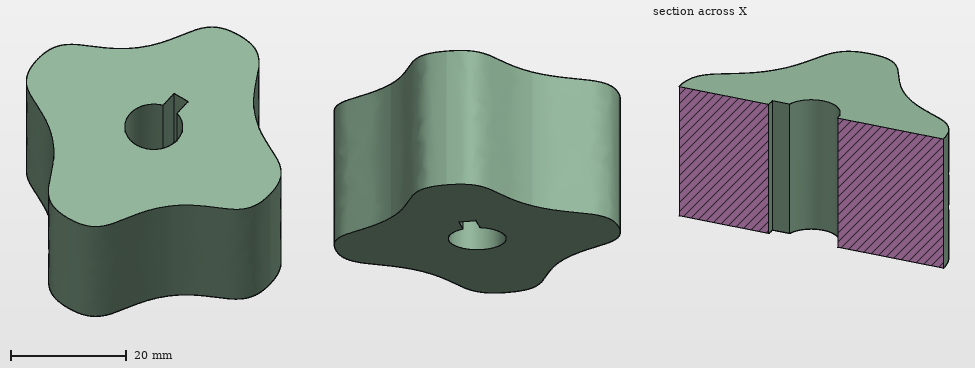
import cadquery as cq

width = 50.0
height = width / 2
tip_radius = width / 2
valley_offset = width / 4
lobe_count = 4

tip_handle = 8.25
valley_handle = 6.0

bore_diameter = 10.0
key_width = 3.0
key_top = 8.0


def quarter_turns(point, turns):
    """Rotate a point clockwise about the origin by 90 degree turns."""
    x, y = point
    for _ in range(turns):
        x, y = y, -x
    return x, y


def lobed_outline():
    """Closed profile: each lobe runs tip to valley, then valley to the next tip."""
    valley = (valley_offset, valley_offset)
    tip_to_valley = [
        (0, tip_radius),
        (tip_handle, tip_radius),
        (valley_offset - valley_handle, valley_offset + valley_handle),
        valley,
    ]
    valley_to_tip = [(y, x) for x, y in reversed(tip_to_valley)]

    outline = cq.Workplane("XY").moveTo(0, tip_radius)
    for turns in range(lobe_count):
        for flank in (tip_to_valley, valley_to_tip):
            outline = outline.bezier([quarter_turns(point, turns) for point in flank])
    return outline.close()


def keyed_bore():
    """Through bore with a rectangular keyway on its +Y side."""
    bore = cq.Workplane("XY").circle(bore_diameter / 2).extrude(height)
    keyway = cq.Workplane("XY").center(0, key_top / 2).rect(key_width, key_top).extrude(height)
    return bore.union(keyway)


body = lobed_outline().extrude(height)
result = body.cut(keyed_bore())